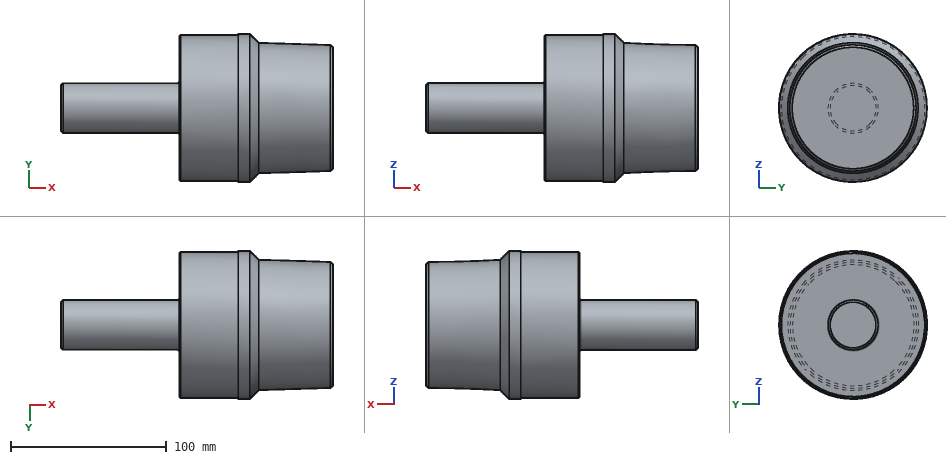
import cadquery as cq

total_length = 174.8

shank_radius = 16.0
shank_chamfer = 1.4
shank_fillet = 0.5

body_start = 75.8
body_radius = 47.0
body_chamfer = 1.0

collar_start = 114.0
collar_end = 121.3
collar_radius = 47.62

nose_start = 127.0
nose_start_radius = 42.0
nose_end_radius = 40.5
nose_chamfer_length = 2.0
nose_chamfer_depth = 1.5

nose_end = total_length - nose_chamfer_length

half_section = (
    cq.Workplane("XY")
    .moveTo(0, 0)
    .lineTo(0, shank_radius - shank_chamfer)
    .lineTo(shank_chamfer, shank_radius)
    .lineTo(body_start - shank_fillet, shank_radius)
    .radiusArc((body_start, shank_radius + shank_fillet), -shank_fillet)
    .lineTo(body_start, body_radius - body_chamfer)
    .lineTo(body_start + body_chamfer, body_radius)
    .lineTo(collar_start, body_radius)
    .lineTo(collar_start, collar_radius)
    .lineTo(collar_end, collar_radius)
    .lineTo(nose_start, nose_start_radius)
    .lineTo(nose_end, nose_end_radius)
    .lineTo(total_length, nose_end_radius - nose_chamfer_depth)
    .lineTo(total_length, 0)
    .close()
)

result = half_section.revolve(360, (0, 0, 0), (1, 0, 0))